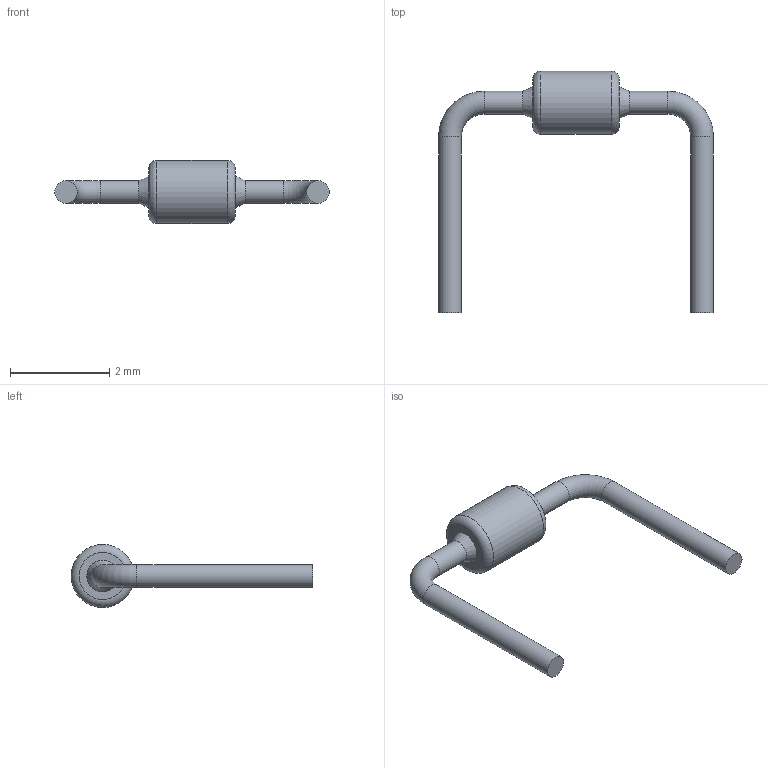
import cadquery as cq

lead_diameter = 0.46
lead_pitch = 5.08
lead_reach = 4.235
bend_radius = 0.69

body_diameter = 1.27
body_length = 1.75
body_fillet = 0.16

collar_length = 0.2
collar_base_diameter = 0.64

lead_x = lead_pitch / 2
body_end_x = body_length / 2


def make_lead_wire():
    """U-shaped round wire running through the body, both legs along -Y."""
    centreline = (
        cq.Workplane("XY")
        .moveTo(-lead_x, -lead_reach)
        .lineTo(-lead_x, -bend_radius)
        .radiusArc((-lead_x + bend_radius, 0), bend_radius)
        .lineTo(lead_x - bend_radius, 0)
        .radiusArc((lead_x, -bend_radius), bend_radius)
        .lineTo(lead_x, -lead_reach)
    )
    section = cq.Workplane("XZ", origin=(-lead_x, -lead_reach, 0)).circle(lead_diameter / 2)
    return section.sweep(centreline)


def make_body():
    """Cylinder centred on the origin with both rims rounded."""
    start_plane = cq.Workplane("YZ", origin=(-body_end_x, 0, 0))
    cylinder = start_plane.circle(body_diameter / 2).extrude(body_length)
    return cylinder.edges("%CIRCLE").fillet(body_fillet)


def make_collar():
    """Cone on the +X end of the body, narrowing to the lead."""
    profile = (
        cq.Workplane("XY")
        .moveTo(0, 0)
        .lineTo(body_end_x + collar_length, 0)
        .lineTo(body_end_x + collar_length, lead_diameter / 2)
        .lineTo(body_end_x, collar_base_diameter / 2)
        .lineTo(0, collar_base_diameter / 2)
        .close()
    )
    return profile.revolve(360, (0, 0, 0), (1, 0, 0))


collar = make_collar()
result = make_body().union(collar).union(collar.mirror("YZ")).union(make_lead_wire())